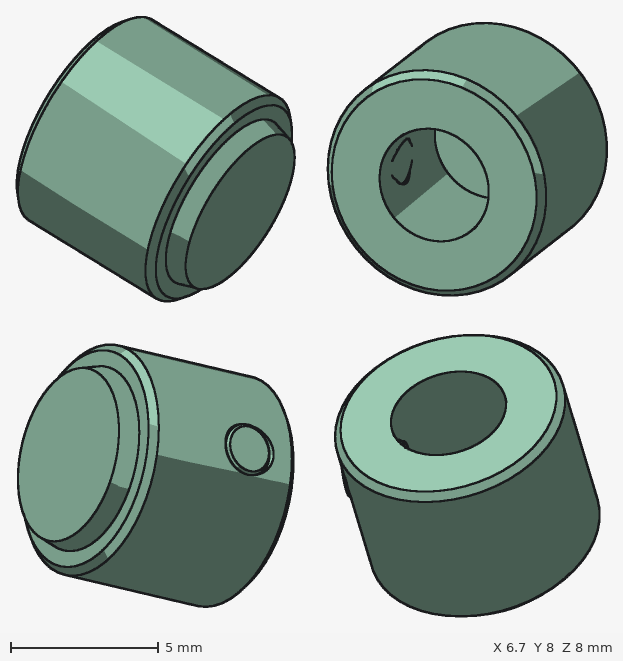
import cadquery as cq
import math

body_diameter = 8.0
body_length = 6.0
body_chamfer = 0.25

boss_length = 0.7
boss_base_diameter = 6.4
boss_end_diameter = 6.0

bore_diameter = 4.0
bore_depth = 5.0

screw_diameter = 2.0
screw_x = 2.0
screw_end_chamfer = 0.2
screw_cone_slope = 15.0
hole_diameter = 1.567
countersink_diameter = 2.0

body_radius = body_diameter / 2
bore_radius = bore_diameter / 2
screw_radius = screw_diameter / 2
hole_radius = hole_diameter / 2
countersink_radius = countersink_diameter / 2


def make_body():
    """Chamfered cylinder with its tapered boss, revolved about X."""
    total_length = body_length + boss_length
    chamfer_radius = body_radius - body_chamfer
    profile = [
        (0, 0),
        (0, chamfer_radius),
        (body_chamfer, body_radius),
        (body_length - body_chamfer, body_radius),
        (body_length, chamfer_radius),
        (body_length, boss_base_diameter / 2),
        (total_length, boss_end_diameter / 2),
        (total_length, 0),
    ]
    return cq.Workplane("XY").polyline(profile).close().revolve(360, (0, 0), (1, 0))


def make_bore():
    """Flat-bottomed shaft bore."""
    return cq.Workplane("YZ").circle(bore_radius).extrude(bore_depth)


def revolve_about_screw_axis(profile):
    """Turn (radius, y) points about the radial screw axis."""
    points = [(screw_x + radius, y) for radius, y in profile]
    axis_start = (screw_x, 0)
    axis_end = (screw_x, 1)
    return cq.Workplane("XY").polyline(points).close().revolve(360, axis_start, axis_end)


def make_screw_hole():
    """Radial hole from the axis out through the +Y side, with a 45 degree countersink."""
    countersink_depth = countersink_radius - hole_radius
    return revolve_about_screw_axis([
        (0, 0),
        (hole_radius, 0),
        (hole_radius, body_radius - countersink_depth),
        (countersink_radius, body_radius),
        (0, body_radius),
    ])


def make_screw():
    """Plain set screw: chamfered flush outer end, cone tip standing into the bore."""
    cone_length = screw_radius * math.tan(math.radians(screw_cone_slope))
    return revolve_about_screw_axis([
        (0, bore_radius - cone_length),
        (screw_radius, bore_radius),
        (screw_radius, body_radius - screw_end_chamfer),
        (screw_radius - screw_end_chamfer, body_radius),
        (0, body_radius),
    ])


result = make_body().cut(make_bore()).cut(make_screw_hole()).union(make_screw())